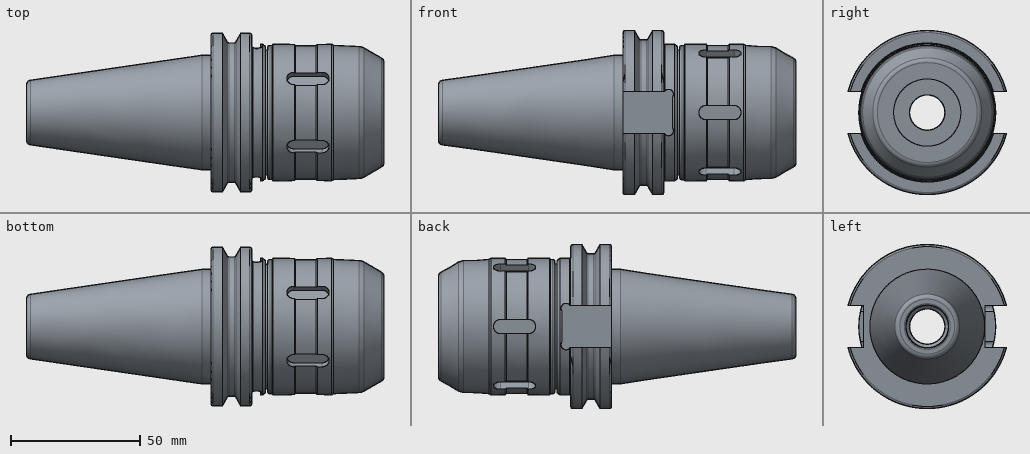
import cadquery as cq
import math


overall_length = 138.3
taper_end = 67.9
flange_back = 71.4
flange_front = 87.1
collar_chamfer_start = 91.3
collar_end = 92.5
nut_back = 93.2

gauge_dia = 44.4
taper_per_length = 7 / 24
shank_end_dia = gauge_dia - taper_per_length * taper_end
shank_end_fillet = 2.0

flange_dia = 63.5
flange_fillet = 0.8
groove_dia = 56.3
groove_floor_start = 77.9
groove_floor_end = 80.8
groove_flank_width = 2.1
groove_root_fillet = 0.7

collar_dia = 53.0
collar_chamfer_dia = 51.0
collar_root_fillet = 0.4
neck_dia = 48.4
spigot_dia = 26.0

bore_dia = 13.5
mouth_fillet = 0.7
thread_dia = 16.3
relief_dia = 16.7
thread_depth = 2.9
relief_depth = 4.4
bore_depth = relief_depth + (thread_dia - bore_dia) / 2

drive_slot_width = 16.2
drive_slot_end = 90.5
deep_slot_floor = 22.3
shallow_slot_floor = 24.6
corner_relief_radius = 2.0
corner_relief_x = 88.9
corner_relief_z = 7.0

nut_dia = 53.0
nut_low_dia = 52.0
nut_step_width = 0.4
nut_back_fillet = 1.0
back_band_end = 95.0
waist_start = 103.6
waist_end = 112.4
barrel_step_width = 0.8
barrel_start = 118.8
barrel_end = 129.5
barrel_end_dia = 51.0
barrel_blend = 4.1
nose_angle = 30.0
nose_dia = barrel_end_dia - 2 * (overall_length - barrel_end) * math.tan(math.radians(nose_angle))
nose_fillet = 2.1

spanner_slot_count = 6
spanner_slot_length = 16.3
spanner_slot_width = 5.5
spanner_slot_x = 108.8
spanner_slot_floor = 23.2

match_tolerance = 0.01


def revolve_about_axis(stations):
    """Solid of revolution about X through (x, diameter) stations."""
    outline = [(x, dia / 2) for x, dia in stations]
    closed = [(stations[0][0], 0), *outline, (stations[-1][0], 0)]
    return cq.Workplane("XY").polyline(closed).close().revolve(360, (0, 0, 0), (1, 0, 0))


def circles_at(body, x, dia):
    """The circular edges of a turned body at one station and diameter."""
    on_station = body.edges("%CIRCLE").filter(lambda edge: abs(edge.Center().x - x) < match_tolerance)
    return on_station.filter(lambda edge: abs(edge.radius() - dia / 2) < match_tolerance)


def turned_holder():
    body = revolve_about_axis([
        (0, shank_end_dia),
        (taper_end, gauge_dia),
        (flange_back, gauge_dia),
        (flange_back, flange_dia),
        (groove_floor_start - groove_flank_width, flange_dia),
        (groove_floor_start, groove_dia),
        (groove_floor_end, groove_dia),
        (groove_floor_end + groove_flank_width, flange_dia),
        (flange_front, flange_dia),
        (flange_front, collar_dia),
        (collar_chamfer_start, collar_dia),
        (collar_end, collar_chamfer_dia),
        (collar_end, neck_dia),
        (nut_back, neck_dia),
        (nut_back, spigot_dia),
        (overall_length, spigot_dia),
    ])
    body = circles_at(body, 0, shank_end_dia).fillet(shank_end_fillet)
    for x in (flange_back, flange_front):
        body = circles_at(body, x, flange_dia).fillet(flange_fillet)
    for x in (groove_floor_start, groove_floor_end):
        body = circles_at(body, x, groove_dia).fillet(groove_root_fillet)
    return circles_at(body, flange_front, collar_dia).fillet(collar_root_fillet)


def stud_bore():
    return revolve_about_axis([
        (0, thread_dia),
        (thread_depth, thread_dia),
        (thread_depth, relief_dia),
        (relief_depth, relief_dia),
        (relief_depth, thread_dia),
        (bore_depth, bore_dia),
        (overall_length, bore_dia),
    ])


def drive_slot(side, floor):
    """Cutter for one drive slot; side is -1 or +1 along Y, the far corners are relieved."""
    depth = flange_dia / 2 - floor
    slot_length = drive_slot_end - flange_back
    slot = cq.Workplane("XY").box(slot_length, depth, drive_slot_width)
    slot = slot.translate(((flange_back + drive_slot_end) / 2, side * (floor + depth / 2), 0))
    reliefs = (
        cq.Workplane("XZ", origin=(0, side * floor, 0))
        .pushPoints([(corner_relief_x, corner_relief_z), (corner_relief_x, -corner_relief_z)])
        .circle(corner_relief_radius)
        .extrude(-side * depth)
    )
    return slot.union(reliefs)


def make_holder():
    body = turned_holder().cut(stud_bore())
    body = circles_at(body, 0, thread_dia).fillet(mouth_fillet)
    return body.cut(drive_slot(-1, deep_slot_floor)).cut(drive_slot(1, shallow_slot_floor))


def turned_nut():
    body = revolve_about_axis([
        (nut_back, nut_low_dia),
        (back_band_end, nut_low_dia),
        (back_band_end + nut_step_width, nut_dia),
        (waist_start, nut_dia),
        (waist_start + nut_step_width, nut_low_dia),
        (waist_end - nut_step_width, nut_low_dia),
        (waist_end, nut_dia),
        (barrel_start - barrel_step_width, nut_dia),
        (barrel_start, nut_low_dia),
        (barrel_end, barrel_end_dia),
        (overall_length, nose_dia),
    ])
    body = circles_at(body, nut_back, nut_low_dia).fillet(nut_back_fillet)
    body = circles_at(body, barrel_end, barrel_end_dia).fillet(barrel_blend)
    return circles_at(body, overall_length, nose_dia).fillet(nose_fillet)


def spanner_slot(angle):
    """Cutter for one flat-bottomed slot, turned about X from the -Y side."""
    return (
        cq.Workplane("XZ", origin=(spanner_slot_x, -spanner_slot_floor, 0))
        .slot2D(spanner_slot_length, spanner_slot_width)
        .extrude(nut_dia / 2 - spanner_slot_floor)
        .rotate((0, 0, 0), (1, 0, 0), angle)
    )


def make_nut():
    spigot_hole = revolve_about_axis([(nut_back, spigot_dia), (overall_length, spigot_dia)])
    body = turned_nut().cut(spigot_hole)
    for index in range(spanner_slot_count):
        body = body.cut(spanner_slot(index * 360 / spanner_slot_count))
    return body


holder = make_holder()
nut = make_nut()

result = cq.Compound.makeCompound([holder.val(), nut.val()])